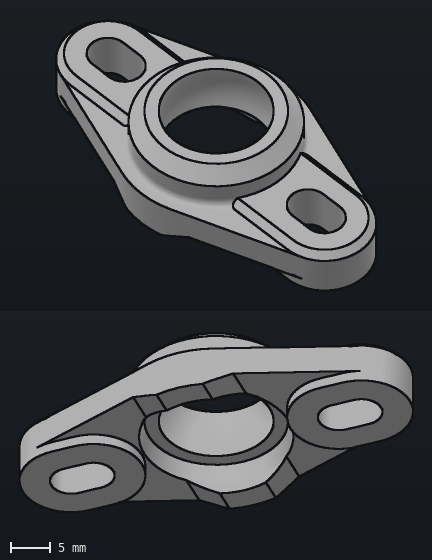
import cadquery as cq
import math

EAR_SPACING = 39.0
EAR_RADIUS = 6.5
HUB_RADIUS = 13.0

PLATE_BOTTOM = 1.5
PLATE_TOP = 5.5
EAR_TOP = 6.5
COLLAR_TOP = 11.0
EAR_CHAMFER = EAR_TOP - PLATE_TOP

COLLAR_RADIUS = 11.0
COLLAR_CHAMFER = 2.0
COLLAR_FILLET = 1.0

SEAT_RADIUS = 8.0
SEAT_BOTTOM = 4.0
SEAT_CENTRE = (SEAT_BOTTOM + COLLAR_TOP) / 2

RECESS_ROOF_RADIUS = 9.0
RECESS_TAPER_DEGREES = 15.0

SLOT_RADIUS = 2.65
SLOT_TRAVEL = 3.0

FOOT_HALF_WIDTH = 3.1
FOOT_SLOPE_DEGREES = 22.5

EAR_X = EAR_SPACING / 2
SLOT_X = EAR_X - SLOT_TRAVEL / 2


def obround(centre_spacing, radius, bottom, top, centre_x=0):
    """Upright prism with round ends, its long axis along X."""
    return (
        cq.Workplane("XY", origin=(centre_x, 0, bottom))
        .slot2D(centre_spacing + 2 * radius, 2 * radius)
        .extrude(top - bottom)
    )


def diamond_prism(bottom, top):
    """Hub circle joined to both ear circles by their common tangents."""
    tangent_cos = (HUB_RADIUS - EAR_RADIUS) / EAR_X
    tangent_sin = math.sqrt(1 - tangent_cos**2)
    hub_x = HUB_RADIUS * tangent_cos
    hub_y = HUB_RADIUS * tangent_sin
    ear_x = EAR_X + EAR_RADIUS * tangent_cos
    ear_y = EAR_RADIUS * tangent_sin
    ear_tip = EAR_X + EAR_RADIUS
    return (
        cq.Workplane("XY", origin=(0, 0, bottom))
        .moveTo(-hub_x, hub_y)
        .threePointArc((0, HUB_RADIUS), (hub_x, hub_y))
        .lineTo(ear_x, ear_y)
        .threePointArc((ear_tip, 0), (ear_x, -ear_y))
        .lineTo(hub_x, -hub_y)
        .threePointArc((0, -HUB_RADIUS), (-hub_x, -hub_y))
        .lineTo(-ear_x, -ear_y)
        .threePointArc((-ear_tip, 0), (-ear_x, ear_y))
        .close()
        .extrude(top - bottom)
    )


def ear_bar():
    """Raised bar joining both ears, chamfered around its top edge."""
    bar = obround(EAR_SPACING, EAR_RADIUS, PLATE_BOTTOM, EAR_TOP)
    return bar.faces(">Z").chamfer(EAR_CHAMFER)


def collar():
    """Round collar, chamfered at the top and filleted into the plate."""
    fillet_outer = COLLAR_RADIUS + COLLAR_FILLET
    fillet_top = PLATE_TOP + COLLAR_FILLET
    fillet_offset = COLLAR_FILLET * (1 - math.sqrt(0.5))
    fillet_middle = (COLLAR_RADIUS + fillet_offset, PLATE_TOP + fillet_offset)
    return (
        cq.Workplane("XZ")
        .moveTo(0, PLATE_BOTTOM)
        .lineTo(fillet_outer, PLATE_BOTTOM)
        .lineTo(fillet_outer, PLATE_TOP)
        .threePointArc(fillet_middle, (COLLAR_RADIUS, fillet_top))
        .lineTo(COLLAR_RADIUS, COLLAR_TOP - COLLAR_CHAMFER)
        .lineTo(COLLAR_RADIUS - COLLAR_CHAMFER, COLLAR_TOP)
        .lineTo(0, COLLAR_TOP)
        .close()
        .revolve(360, (0, 0), (0, 1))
    )


def feet():
    """Sloped-sided feet, trimmed to the outline of the plate."""
    slope_run = PLATE_BOTTOM / math.tan(math.radians(FOOT_SLOPE_DEGREES))
    root_half_width = FOOT_HALF_WIDTH + slope_run
    wedge = (
        cq.Workplane("XZ")
        .moveTo(-FOOT_HALF_WIDTH, 0)
        .lineTo(FOOT_HALF_WIDTH, 0)
        .lineTo(root_half_width, PLATE_BOTTOM)
        .lineTo(-root_half_width, PLATE_BOTTOM)
        .close()
        .extrude(HUB_RADIUS, both=True)
    )
    return wedge.intersect(diamond_prism(0, PLATE_BOTTOM))


def bearing_seat():
    """Spherical seat open at the top, over a tapered recess that turns straight between the feet."""
    seat_edge = math.sqrt(SEAT_RADIUS**2 - (COLLAR_TOP - SEAT_CENTRE) ** 2)
    recess_height = SEAT_BOTTOM - PLATE_BOTTOM
    recess_mouth = RECESS_ROOF_RADIUS + recess_height * math.tan(math.radians(RECESS_TAPER_DEGREES))
    return (
        cq.Workplane("XZ")
        .lineTo(recess_mouth, 0)
        .lineTo(recess_mouth, PLATE_BOTTOM)
        .lineTo(RECESS_ROOF_RADIUS, SEAT_BOTTOM)
        .lineTo(seat_edge, SEAT_BOTTOM)
        .threePointArc((SEAT_RADIUS, SEAT_CENTRE), (seat_edge, COLLAR_TOP))
        .lineTo(0, COLLAR_TOP)
        .close()
        .revolve(360, (0, 0), (0, 1))
    )


body = diamond_prism(PLATE_BOTTOM, PLATE_TOP)
for feature in (ear_bar(), collar(), feet()):
    body = body.union(feature)
for side in (-1, 1):
    body = body.union(obround(SLOT_TRAVEL, EAR_RADIUS, 0, PLATE_BOTTOM, side * SLOT_X))

body = body.cut(bearing_seat())
for side in (-1, 1):
    body = body.cut(obround(SLOT_TRAVEL, SLOT_RADIUS, 0, EAR_TOP, side * SLOT_X))

result = body